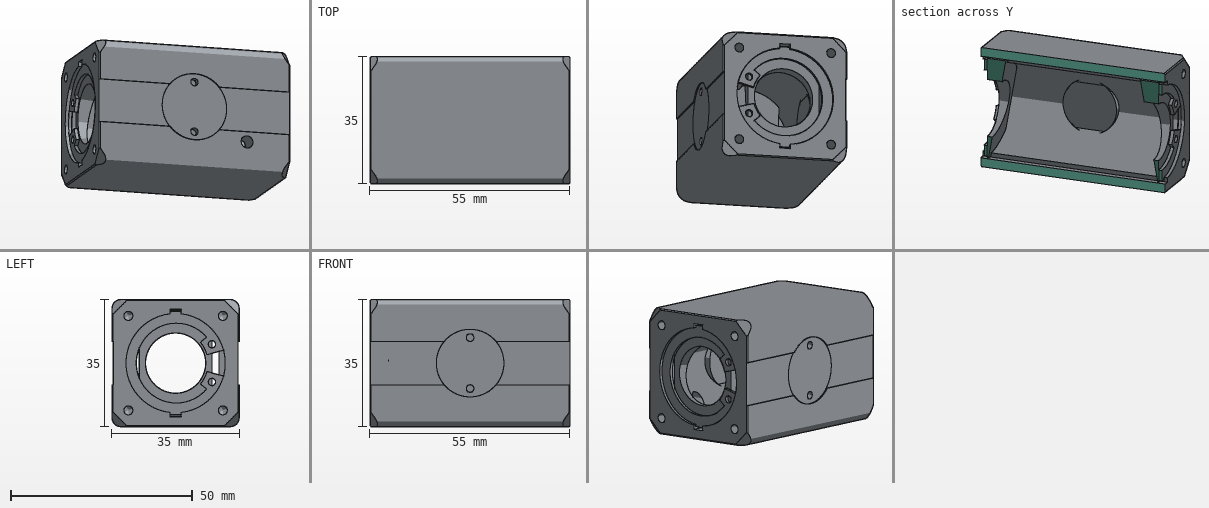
import cadquery as cq
import math

LENGTH = 55.0
WIDTH = 35.0
EDGE_FILLET = 2.5
END_CHAMFER = 0.35
END_FACE_DIAGONAL = 43.35
CORNER_CHAMFER = 3.3
STRIPE_WIDTH = 12.0
STRIPE_DEPTH = END_CHAMFER

BORE_RADIUS = 13.65
KEY_WIDTH = 3.0
KEYWAY_HEIGHT = 14.8
KEY_CLEARANCE = 0.2

SCREW_HOLE_DIAMETER = 2.5
SCREW_HOLE_OFFSET = 13.0
SCREW_HOLE_DEPTH = 10.0
DRILL_TIP_ANGLE = 118.0

CABLE_HOLE_DIAMETER = 3.4
CABLE_HOLE_X = -15.05
CABLE_HOLE_Z = -8.9

RING_RECESS = 1.0
RING_THICKNESS = 1.0
RING_RADIUS = 14.2
RING_INNER_RADIUS = 11.1
RING_BACK_RADIUS = 10.8
EAR_INNER_RADIUS = 8.9
EAR_START_ANGLE = 15.0
EAR_END_ANGLE = 40.0
EAR_HOLE_OFFSET = 11.2
EAR_HOLE_DIAMETER = 2.0
WINDOW_THICKNESS = 2.95
WINDOW_LEAN_ANGLE = 10.0
WINDOW_BORE_RADIUS = 8.25
WINDOW_WIDTH = 20.0

CAP_RADIUS = 9.3
CAP_THICKNESS = 2.0
STUD_RADIUS = 8.0
STUD_TIP_Y = 11.9
SPANNER_HOLE_DIAMETER = 2.1
SPANNER_HOLE_OFFSET = 7.0

HALF_LENGTH = LENGTH / 2
HALF_WIDTH = WIDTH / 2
CAP_FACE_Y = HALF_WIDTH - STRIPE_DEPTH
RING_FRONT_X = HALF_LENGTH - RING_RECESS
RING_BACK_X = RING_FRONT_X - RING_THICKNESS
SIDES = (-1, 1)


def x_cylinder(radius, start_x, end_x):
    """Round bar along X, centred on the bore axis."""
    return cq.Workplane("YZ", origin=(start_x, 0, 0)).circle(radius).extrude(end_x - start_x)


def side_cylinder(radius, inner_y, outer_y):
    """Round bar along Y on the -Y side, between two distances from the bore axis."""
    return cq.Workplane("XZ", origin=(0, -inner_y, 0)).circle(radius).extrude(outer_y - inner_y)


def mirror_to(shape, side, plane):
    """The shape as built for side -1, mirrored for side +1."""
    return shape if side < 0 else shape.mirror(plane)


def block():
    """Outer block: rounded long edges, chamfered end edges and cut end corners."""
    rounded = cq.Workplane().box(LENGTH, WIDTH, WIDTH).edges("|X").fillet(EDGE_FILLET)
    chamfered = cq.Workplane().box(LENGTH, WIDTH, WIDTH).faces("<X or >X").edges().chamfer(END_CHAMFER)
    diamond_width = END_FACE_DIAGONAL + 2 * CORNER_CHAMFER
    diamond = (
        cq.Workplane()
        .box(LENGTH, diamond_width, diamond_width)
        .faces("<X or >X")
        .edges()
        .chamfer(CORNER_CHAMFER)
        .rotate((0, 0, 0), (1, 0, 0), 45)
    )
    return rounded.intersect(chamfered).intersect(diamond)


def screw_hole():
    """Blind hole with a conical tip, opening at the -X end and centred on the bore axis."""
    radius = SCREW_HOLE_DIAMETER / 2
    tip = radius / math.tan(math.radians(DRILL_TIP_ANGLE / 2))
    return (
        cq.Workplane("XY")
        .polyline([(0, 0), (0, radius), (SCREW_HOLE_DEPTH, radius), (SCREW_HOLE_DEPTH + tip, 0)])
        .close()
        .revolve(360, (0, 0, 0), (1, 0, 0))
        .translate((-HALF_LENGTH, 0, 0))
    )


def make_housing():
    body = block()
    for side in SIDES:
        stripe = cq.Workplane().box(LENGTH, 2 * STRIPE_DEPTH, STRIPE_WIDTH)
        body = body.cut(stripe.translate((0, side * HALF_WIDTH, 0)))
    body = body.cut(x_cylinder(BORE_RADIUS, -HALF_LENGTH, HALF_LENGTH))
    body = body.cut(cq.Workplane().box(LENGTH, KEY_WIDTH, 2 * KEYWAY_HEIGHT))
    ring_groove = x_cylinder(RING_RADIUS, -RING_FRONT_X, -RING_BACK_X)
    cap_seat = side_cylinder(CAP_RADIUS, CAP_FACE_Y - CAP_THICKNESS, HALF_WIDTH)
    stud_hole = side_cylinder(STUD_RADIUS, STUD_TIP_Y, HALF_WIDTH)
    for side in SIDES:
        body = body.cut(mirror_to(ring_groove, side, "YZ"))
        body = body.cut(mirror_to(cap_seat.union(stud_hole), side, "XZ"))
        for y_side in SIDES:
            for z_side in SIDES:
                hole = screw_hole().translate((0, y_side * SCREW_HOLE_OFFSET, z_side * SCREW_HOLE_OFFSET))
                body = body.cut(mirror_to(hole, side, "YZ"))
    cable_hole = (
        cq.Workplane("XZ", origin=(CABLE_HOLE_X, 0, CABLE_HOLE_Z))
        .circle(CABLE_HOLE_DIAMETER / 2)
        .extrude(-HALF_WIDTH)
    )
    return body.cut(cable_hole)


def ring_point(radius, angle):
    """Point in the YZ plane; the angle is in degrees from -Y towards +Z."""
    turn = math.radians(angle)
    return (-radius * math.cos(turn), radius * math.sin(turn))


def make_retaining_ring(side):
    """Open ring with two drilled ears facing -Y."""
    ear_middle = (EAR_START_ANGLE + EAR_END_ANGLE) / 2
    ring = (
        cq.Workplane("YZ", origin=(-RING_FRONT_X, 0, 0))
        .moveTo(*ring_point(RING_RADIUS, EAR_START_ANGLE))
        .threePointArc((RING_RADIUS, 0), ring_point(RING_RADIUS, -EAR_START_ANGLE))
        .lineTo(*ring_point(EAR_INNER_RADIUS, -EAR_START_ANGLE))
        .threePointArc(
            ring_point(EAR_INNER_RADIUS, -ear_middle), ring_point(EAR_INNER_RADIUS, -EAR_END_ANGLE)
        )
        .lineTo(*ring_point(RING_INNER_RADIUS, -EAR_END_ANGLE))
        .threePointArc((RING_BACK_RADIUS, 0), ring_point(RING_INNER_RADIUS, EAR_END_ANGLE))
        .lineTo(*ring_point(EAR_INNER_RADIUS, EAR_END_ANGLE))
        .threePointArc(
            ring_point(EAR_INNER_RADIUS, ear_middle), ring_point(EAR_INNER_RADIUS, EAR_START_ANGLE)
        )
        .close()
        .pushPoints([ring_point(EAR_HOLE_OFFSET, angle) for angle in (-ear_middle, ear_middle)])
        .circle(EAR_HOLE_DIAMETER / 2)
        .extrude(RING_THICKNESS)
    )
    return mirror_to(ring, side, "YZ")


def make_window_ring(side):
    """Bored, keyed disc with flats on its Y sides; its inner face leans, so it is thicker at the top."""
    flats = cq.Workplane().box(LENGTH, WINDOW_WIDTH, WIDTH)
    disc = x_cylinder(BORE_RADIUS, -RING_BACK_X, 0).intersect(flats)
    keys = (
        cq.Workplane("YZ", origin=(-RING_BACK_X, 0, 0))
        .rect(KEY_WIDTH, 2 * (KEYWAY_HEIGHT - KEY_CLEARANCE))
        .extrude(HALF_LENGTH)
    )
    bore = x_cylinder(WINDOW_BORE_RADIUS, -HALF_LENGTH, 0)
    middle_x = -RING_BACK_X + WINDOW_THICKNESS
    lean = KEYWAY_HEIGHT * math.tan(math.radians(WINDOW_LEAN_ANGLE))
    wedge = (
        cq.Workplane("XZ")
        .polyline(
            [
                (-HALF_LENGTH, -KEYWAY_HEIGHT),
                (middle_x - lean, -KEYWAY_HEIGHT),
                (middle_x + lean, KEYWAY_HEIGHT),
                (-HALF_LENGTH, KEYWAY_HEIGHT),
            ]
        )
        .close()
        .extrude(HALF_WIDTH, both=True)
    )
    return mirror_to(disc.union(keys).cut(bore).intersect(wedge), side, "YZ")


def make_side_cap(side):
    """Round cap with two spanner holes and a stud that reaches into the bore."""
    cap = side_cylinder(CAP_RADIUS, CAP_FACE_Y - CAP_THICKNESS, CAP_FACE_Y)
    spanner_holes = (
        cq.Workplane("XZ", origin=(0, CAP_THICKNESS - CAP_FACE_Y, 0))
        .pushPoints([(0, -SPANNER_HOLE_OFFSET), (0, SPANNER_HOLE_OFFSET)])
        .circle(SPANNER_HOLE_DIAMETER / 2)
        .extrude(CAP_THICKNESS)
    )
    stud = side_cylinder(STUD_RADIUS, STUD_TIP_Y, CAP_FACE_Y - CAP_THICKNESS)
    return mirror_to(cap.cut(spanner_holes).union(stud), side, "XZ")


housing = make_housing()
bodies = [housing.val()]
for side in SIDES:
    bodies.append(make_retaining_ring(side).val())
    bodies.append(make_window_ring(side).val())
    bodies.append(make_side_cap(side).val())

result = cq.Compound.makeCompound(bodies)